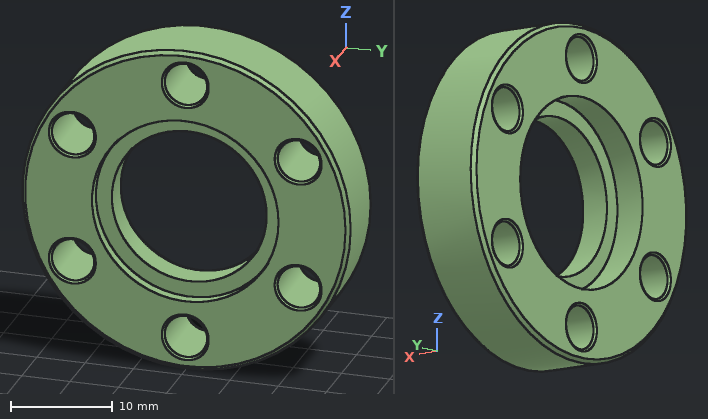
import cadquery as cq

outer_diameter = 34.0
thickness = 7.5
rim_chamfer = 0.4

bore_diameter = 16.0
counterbore_diameter = 19.3
front_counterbore_depth = 3.2
back_counterbore_depth = 1.3

hole_count = 6
hole_diameter = 4.4
hole_circle_diameter = 27.0
hole_chamfer = 0.25


def axial_cylinder(diameter, start_x, length):
    """Cylinder on the X axis, running in +X from start_x."""
    return cq.Workplane("YZ", origin=(start_x, 0, 0)).circle(diameter / 2).extrude(length)


def ring_blank():
    """Disc centred on the X axis, with both rims chamfered."""
    disc = axial_cylinder(outer_diameter, -thickness / 2, thickness)
    return disc.faces("<X or >X").edges().chamfer(rim_chamfer)


def centre_bore():
    """Cutter for the through bore and the counterbores at its two ends."""
    front_x = -thickness / 2
    back_floor_x = thickness / 2 - back_counterbore_depth
    bore = axial_cylinder(bore_diameter, front_x, thickness)
    front_counterbore = axial_cylinder(counterbore_diameter, front_x, front_counterbore_depth)
    back_counterbore = axial_cylinder(counterbore_diameter, back_floor_x, back_counterbore_depth)
    return bore.union(front_counterbore).union(back_counterbore)


def bolt_hole():
    """Cutter for one hole on the X axis, flared at both faces."""
    half_length = thickness / 2
    hole_radius = hole_diameter / 2
    mouth_radius = hole_radius + hole_chamfer
    profile = [
        (-half_length, 0),
        (-half_length, mouth_radius),
        (-half_length + hole_chamfer, hole_radius),
        (half_length - hole_chamfer, hole_radius),
        (half_length, mouth_radius),
        (half_length, 0),
    ]
    return cq.Workplane("XY").polyline(profile).close().revolve(360, (0, 0, 0), (1, 0, 0))


result = ring_blank().cut(centre_bore())

first_hole = bolt_hole().translate((0, 0, hole_circle_diameter / 2))
for index in range(hole_count):
    angle = index * 360 / hole_count
    result = result.cut(first_hole.rotate((0, 0, 0), (1, 0, 0), angle))